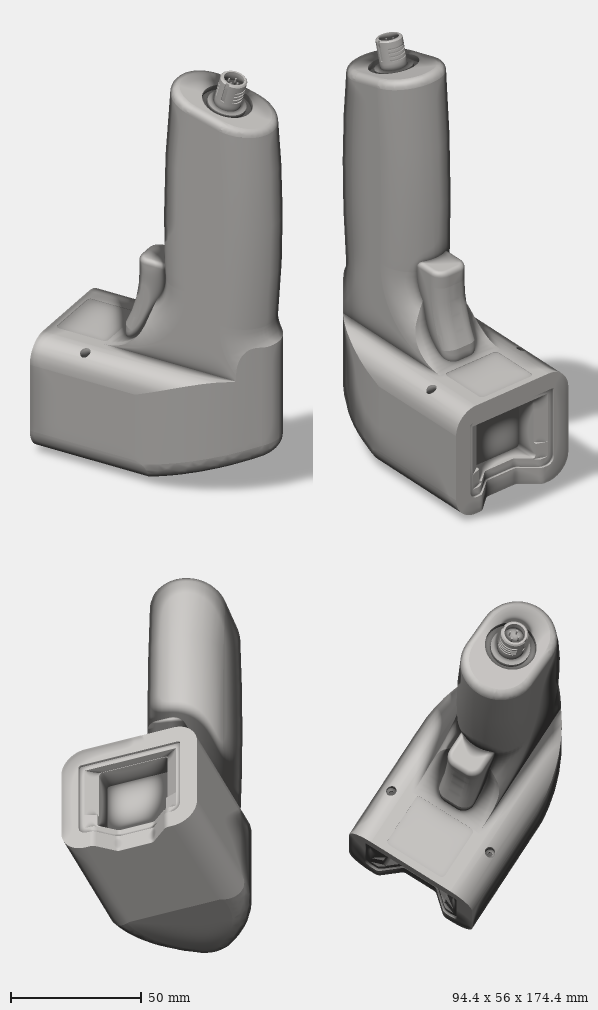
import cadquery as cq
import math

LENGTH = 94.4
WIDTH = 56.0
HEIGHT = 174.4
HALF_WIDTH = WIDTH / 2
MARGIN = 1.7

HEAD_HEIGHT = 49.0
HEAD_ROUND = 10.0
SIDE_RADIUS = 60.0
TIP_RADIUS = 12.0
BELLY_START = 48.0
BELLY_ANGLE = 16.0
BELLY_ROUND = 8.2

TIP_CENTRE_X = LENGTH - TIP_RADIUS
SIDE_CENTRE_Y = HALF_WIDTH - SIDE_RADIUS
CENTRE_SPACING = SIDE_RADIUS - TIP_RADIUS
SIDE_END_X = TIP_CENTRE_X - math.sqrt(CENTRE_SPACING**2 - SIDE_CENTRE_Y**2)

RIM_WIDTH, RIM_BOTTOM, RIM_TOP, RIM_DEPTH = 41.7, 7.3, 41.5, 1.0
RIM_TOP_ROUND, RIM_BOTTOM_ROUND = 0.9, 3.3
FUNNEL_WIDTH, FUNNEL_BOTTOM, FUNNEL_TOP, FUNNEL_END = 37.7, 10.6, 39.2, 4.4
WINDOW_WIDTH, WINDOW_BOTTOM, WINDOW_TOP, WINDOW_DEPTH = 28.3, 11.2, 39.0, 13.0
WINDOW_ROUND = 1.4
WEDGE_TOP, WEDGE_END = 17.3, 2.8
NOTCH_MOUTH, NOTCH_BACK, NOTCH_DEPTH = 30.0, 14.5, 6.6
NOTCH_APPROACH = 34.0
NOTCH_SETBACK = 1.0
NOTCH_MOUTH_ROUND, NOTCH_BACK_ROUND = 3.3, 2.3

LABEL_START, LABEL_END, LABEL_WIDTH = 2.8, 25.3, 26.0
LABEL_ROUND, LABEL_DEPTH = 1.5, 0.2
SCREW_X, SCREW_Y = 21.5, 22.5
SCREW_HOLE_DIAMETER, SCREW_HOLE_FLOOR = 4.0, 44.5
SCREW_SOCKET_DIAMETER, SCREW_SOCKET_DEPTH = 2.0, 1.0

GRIP_WIDTH = 30.0
GRIP_RADIUS = GRIP_WIDTH / 2
GRIP_BASE = 34.9
FRONT_TOP, FRONT_MIDDLE, FRONT_LOW = (64.0, 169.2), (60.7, 107.6), (61.2, 82.5)
REAR_TOP, REAR_MIDDLE, REAR_LOW = (75.0, 169.2), (78.7, 116.9), (76.7, 71.9)
FRONT_FOOT = (32.8, 51.1)
FRONT_FOOT_END = 17.5
REAR_FOOT = (101.5, 44.3)
SLOPE_START, SLOPE_RADIUS, SLOPE_ANGLE, SLOPE_TOP = 25.3, 18.1, 77.0, 77.6

TOP_TILT = 15.0
CONNECTOR_X, CONNECTOR_Z = 71.5, 162.2
TOP_ROUND = 3.0

TRIGGER_WIDTH, TRIGGER_TOP = 15.2, 86.5
TRIGGER_FRONT, TRIGGER_REAR = 34.9, 55.8
TRIGGER_TOE_X, TRIGGER_TOE_Z = 28.8, 54.8
TRIGGER_BEND_Z = 79.7
TRIGGER_FRONT_ROUND, TRIGGER_TOP_ROUND = 4.9, 2.0

RECESS_DIAMETER, RECESS_DEPTH = 20.0, 2.5
FLANGE_DIAMETER, FLANGE_HEIGHT = 15.3, 1.7
CONNECTOR_DIAMETER, CONNECTOR_CHAMFER = 10.6, 0.5
SOCKET_DIAMETER, SOCKET_DEPTH = 8.0, 3.8
PIN_DIAMETER, PIN_CIRCLE, PIN_COUNT, PIN_HEIGHT = 0.63, 3.8, 4, 2.8
GROOVE_DEPTH, GROOVE_WIDTH, GROOVE_PITCH, GROOVE_COUNT = 0.5, 0.7, 1.5, 4
GROOVE_SPAN = 7.8
KEYWAY_WIDTH, KEYWAY_DEPTH, KEYWAY_LENGTH = 1.5, 0.5, 8.5
FIRST_GROOVE = 3.0
TILT = math.radians(TOP_TILT)
CONNECTOR_END_RADIUS = CONNECTOR_DIAMETER / 2 - CONNECTOR_CHAMFER
CONNECTOR_LENGTH = (HEIGHT - CONNECTOR_Z - CONNECTOR_END_RADIUS * math.sin(TILT)) / math.cos(TILT)

TOP_PLANE = cq.Plane(
    origin=(CONNECTOR_X, 0, CONNECTOR_Z),
    xDir=(math.cos(TILT), 0, -math.sin(TILT)),
    normal=(math.sin(TILT), 0, math.cos(TILT)),
)
TOP_SELECTOR = cq.selectors.DirectionMinMaxSelector(TOP_PLANE.zDir, True)


def block(x0, x1, width, z0, z1):
    """A box centred on the XZ plane."""
    corner_box = cq.Workplane("XY").box(x1 - x0, width, z1 - z0, centered=(False, True, False))
    return corner_box.translate((x0, 0, z0))


def plan_prism(bottom, top):
    """The pointed plan outline of the part between two heights."""
    toward_tip = math.atan2(-SIDE_CENTRE_Y, TIP_CENTRE_X - SIDE_END_X)
    half_turn = (math.pi / 2 + toward_tip) / 2
    join_x = TIP_CENTRE_X + TIP_RADIUS * math.cos(toward_tip)
    join_y = TIP_RADIUS * math.sin(toward_tip)
    mid_x = SIDE_END_X + SIDE_RADIUS * math.cos(half_turn)
    mid_y = SIDE_CENTRE_Y + SIDE_RADIUS * math.sin(half_turn)
    return (
        cq.Workplane("XY")
        .workplane(offset=bottom)
        .moveTo(0, -HALF_WIDTH)
        .lineTo(SIDE_END_X, -HALF_WIDTH)
        .threePointArc((mid_x, -mid_y), (join_x, -join_y))
        .threePointArc((LENGTH, 0), (join_x, join_y))
        .threePointArc((mid_x, mid_y), (SIDE_END_X, HALF_WIDTH))
        .lineTo(0, HALF_WIDTH)
        .close()
        .extrude(top - bottom)
    )


def head():
    """A rounded bar cut to the pointed plan, with a rising and rounded underside."""
    bar = block(0, LENGTH, WIDTH, 0, HEAD_HEIGHT).edges("|X").fillet(HEAD_ROUND)
    slope = math.tan(math.radians(BELLY_ANGLE))
    behind, past_tip = -MARGIN, LENGTH + MARGIN
    deep = (behind - BELLY_START) * slope
    below_belly = (
        cq.Workplane("XZ")
        .polyline([(behind, deep), (past_tip, deep), (past_tip, (past_tip - BELLY_START) * slope)])
        .close()
        .extrude(WIDTH, both=True)
    )
    nose = plan_prism(deep, HEAD_HEIGHT).cut(below_belly)
    belly = nose.faces(cq.selectors.DirectionMinMaxSelector(cq.Vector(slope, 0, -1), True))
    rim_edges = [edge for edge in belly.edges().vals() if edge.Center().x > MARGIN]
    nose = nose.newObject(rim_edges).fillet(BELLY_ROUND)
    return bar.intersect(nose)


def xz_point(point):
    """A point on the middle plane of the part."""
    return cq.Vector(point[0], 0, point[1])


def column_path(top, middle, low, foot):
    """Centre line of one column: a long bow, then a flare towards the foot."""
    bow = cq.Edge.makeThreePointArc(xz_point(top), xz_point(middle), xz_point(low))
    flare = cq.Edge.makeTangentArc(xz_point(low), bow.tangentAt(1), xz_point(foot))
    return [bow, flare]


def round_bar(curve):
    """A round bar along one curve."""
    start = cq.Plane(origin=curve.startPoint(), xDir=(0, 1, 0), normal=curve.tangentAt(0))
    return cq.Workplane(start).circle(GRIP_RADIUS).sweep(cq.Workplane("XY").newObject([curve]))


def foot_slope_space():
    """The space above the concave slope that leads from the head up to the grip."""
    angle = math.radians(SLOPE_ANGLE)
    centre_z = HEAD_HEIGHT + SLOPE_RADIUS

    def on_arc(turn):
        return SLOPE_START + SLOPE_RADIUS * math.sin(turn), centre_z - SLOPE_RADIUS * math.cos(turn)

    arc_end = on_arc(angle)
    top_x = arc_end[0] + (SLOPE_TOP - arc_end[1]) / math.tan(angle)
    return (
        cq.Workplane("XZ")
        .moveTo(0, HEAD_HEIGHT)
        .lineTo(SLOPE_START, HEAD_HEIGHT)
        .threePointArc(on_arc(angle / 2), arc_end)
        .lineTo(top_x, SLOPE_TOP)
        .lineTo(0, SLOPE_TOP)
        .close()
        .extrude(WIDTH, both=True)
    )


def grip():
    """Two round columns on curved centre lines, joined by a flat-sided web, on a sloped foot."""
    front = column_path(FRONT_TOP, FRONT_MIDDLE, FRONT_LOW, FRONT_FOOT)
    rear = column_path(REAR_TOP, REAR_MIDDLE, REAR_LOW, REAR_FOOT)
    base_corners = [
        FRONT_FOOT,
        (FRONT_FOOT_END, FRONT_FOOT[1]),
        (FRONT_FOOT_END, GRIP_BASE),
        (REAR_FOOT[0], GRIP_BASE),
        REAR_FOOT,
    ]
    base = cq.Wire.makePolygon([xz_point(corner) for corner in base_corners])
    ridge = cq.Edge.makeLine(xz_point(REAR_TOP), xz_point(FRONT_TOP))
    outline = cq.Wire.assembleEdges(front + base.Edges() + rear[::-1] + [ridge])
    body = cq.Workplane("XZ").newObject([outline]).toPending().extrude(GRIP_RADIUS, both=True)
    for curve in front + rear:
        body = body.union(round_bar(curve))
    above_top = cq.Workplane(TOP_PLANE).rect(LENGTH * 2, WIDTH).extrude(HEIGHT - FRONT_LOW[1])
    body = body.cut(above_top)
    body = body.faces(TOP_SELECTOR).edges().fillet(TOP_ROUND)
    kept = plan_prism(GRIP_BASE, REAR_LOW[1]).union(block(0, LENGTH * 2, WIDTH, REAR_LOW[1], HEIGHT))
    return body.cut(foot_slope_space()).intersect(kept)


def trigger():
    """A finger lever that leans forward towards its toe."""
    drop = TRIGGER_BEND_Z - TRIGGER_TOE_Z
    lean = TRIGGER_FRONT - TRIGGER_TOE_X
    radius = (drop**2 + lean**2) / (2 * lean)
    half_angle = math.asin(drop / radius) / 2
    bend_mid = (
        TRIGGER_FRONT - radius * (1 - math.cos(half_angle)),
        TRIGGER_BEND_Z - radius * math.sin(half_angle),
    )
    lever = (
        cq.Workplane("XZ")
        .moveTo(TRIGGER_REAR, TRIGGER_TOP)
        .lineTo(TRIGGER_FRONT, TRIGGER_TOP)
        .lineTo(TRIGGER_FRONT, TRIGGER_BEND_Z)
        .threePointArc(bend_mid, (TRIGGER_TOE_X, TRIGGER_TOE_Z))
        .lineTo(TRIGGER_TOE_X, GRIP_BASE)
        .lineTo(TRIGGER_REAR, GRIP_BASE)
        .close()
        .extrude(TRIGGER_WIDTH / 2, both=True)
    )
    front_corners = cq.selectors.BoxSelector(
        (TRIGGER_TOE_X - MARGIN, -WIDTH, GRIP_BASE + MARGIN),
        (TRIGGER_FRONT + MARGIN, WIDTH, TRIGGER_TOP - MARGIN),
    )
    lever = lever.edges(front_corners).edges("not |Y").fillet(TRIGGER_FRONT_ROUND)
    return lever.faces(">Z").edges("not >X").fillet(TRIGGER_TOP_ROUND)


def tapered_block(x0, x1, width0, width1, z0, z1):
    """An upright block whose width changes from its front to its back."""
    corners = [(x0, -width0 / 2), (x1, -width1 / 2), (x1, width1 / 2), (x0, width0 / 2)]
    return cq.Workplane("XY").workplane(offset=z0).polyline(corners).close().extrude(z1 - z0)


def notch(z0, z1):
    """The space of the notch, with some space in front so that its mouth can be rounded."""
    space = tapered_block(0, NOTCH_DEPTH, NOTCH_MOUTH, NOTCH_BACK, z0, z1)
    space = space.faces(">X").edges("|Z").fillet(NOTCH_BACK_ROUND)
    space = space.union(block(-NOTCH_DEPTH, 0, NOTCH_APPROACH, z0, z1))
    mouth = cq.selectors.BoxSelector(
        (-MARGIN, -NOTCH_APPROACH / 2 + MARGIN / 10, z0), (MARGIN, NOTCH_APPROACH / 2 - MARGIN / 10, z1)
    )
    return space.edges("|Z").edges(mouth).fillet(NOTCH_MOUTH_ROUND)


def window():
    """The stepped opening in the front face, with the notch in its lower edge."""
    rim = block(0, RIM_DEPTH, RIM_WIDTH, RIM_BOTTOM, RIM_TOP)
    rim = rim.edges("|X and >Z").fillet(RIM_TOP_ROUND).edges("|X and <Z").fillet(RIM_BOTTOM_ROUND)
    funnel = tapered_block(RIM_DEPTH, FUNNEL_END, FUNNEL_WIDTH, WINDOW_WIDTH, WEDGE_TOP, FUNNEL_TOP)
    low_funnel = tapered_block(RIM_DEPTH, WEDGE_END, FUNNEL_WIDTH, WINDOW_WIDTH, FUNNEL_BOTTOM, WEDGE_TOP)
    deep = block(0, WINDOW_DEPTH, WINDOW_WIDTH, WINDOW_BOTTOM, WINDOW_TOP).edges("|X").fillet(WINDOW_ROUND)
    low_notch = notch(-MARGIN, RIM_BOTTOM)
    high_notch = notch(RIM_BOTTOM, FUNNEL_BOTTOM + MARGIN).translate((NOTCH_SETBACK, 0, 0))
    return rim.union(funnel).union(low_funnel).union(deep).union(low_notch).union(high_notch)


def label_recess():
    return (
        block(LABEL_START, LABEL_END, LABEL_WIDTH, HEAD_HEIGHT - LABEL_DEPTH, HEAD_HEIGHT + MARGIN)
        .edges("|Z")
        .fillet(LABEL_ROUND)
    )


def screw_holes():
    sites = [(SCREW_X, SCREW_Y), (SCREW_X, -SCREW_Y)]
    holes = (
        cq.Workplane("XY")
        .workplane(offset=SCREW_HOLE_FLOOR)
        .pushPoints(sites)
        .circle(SCREW_HOLE_DIAMETER / 2)
        .extrude(HEAD_HEIGHT - SCREW_HOLE_FLOOR)
    )
    sockets = (
        cq.Workplane("XY")
        .workplane(offset=SCREW_HOLE_FLOOR - SCREW_SOCKET_DEPTH)
        .pushPoints(sites)
        .polygon(6, SCREW_SOCKET_DIAMETER)
        .extrude(SCREW_SOCKET_DEPTH)
    )
    return holes.union(sockets)


def on_top(diameter, bottom, top):
    """A cylinder about the connector's axis; heights are measured from the sloping top face."""
    return cq.Workplane(TOP_PLANE).workplane(offset=bottom).circle(diameter / 2).extrude(top - bottom)


def connector():
    flange = on_top(FLANGE_DIAMETER, -RECESS_DEPTH, FLANGE_HEIGHT - RECESS_DEPTH)
    plug = on_top(CONNECTOR_DIAMETER, -RECESS_DEPTH, CONNECTOR_LENGTH)
    plug = plug.faces(TOP_SELECTOR).chamfer(CONNECTOR_CHAMFER)
    for number in range(GROOVE_COUNT):
        top = CONNECTOR_LENGTH - FIRST_GROOVE - number * GROOVE_PITCH
        band = cq.Workplane(TOP_PLANE).workplane(offset=top - GROOVE_WIDTH)
        band = band.rect(CONNECTOR_DIAMETER + MARGIN, GROOVE_SPAN).extrude(GROOVE_WIDTH)
        core = on_top(CONNECTOR_DIAMETER - 2 * GROOVE_DEPTH, top - GROOVE_WIDTH, top)
        plug = plug.cut(band.cut(core))
    keyways = (
        cq.Workplane(TOP_PLANE)
        .workplane(offset=CONNECTOR_LENGTH - KEYWAY_LENGTH)
        .pushPoints([(0, CONNECTOR_DIAMETER / 2), (0, -CONNECTOR_DIAMETER / 2)])
        .rect(KEYWAY_WIDTH, 2 * KEYWAY_DEPTH)
        .extrude(KEYWAY_LENGTH)
    )
    plug = plug.cut(keyways)
    floor = CONNECTOR_LENGTH - SOCKET_DEPTH
    plug = plug.cut(on_top(SOCKET_DIAMETER, floor, CONNECTOR_LENGTH))
    pins = (
        cq.Workplane(TOP_PLANE)
        .workplane(offset=floor)
        .polarArray(PIN_CIRCLE / 2, 0, 360, PIN_COUNT)
        .circle(PIN_DIAMETER / 2)
        .extrude(PIN_HEIGHT)
    )
    return flange.union(plug).union(pins)


handle = grip().cut(on_top(RECESS_DIAMETER, -RECESS_DEPTH, MARGIN))
result = head().union(handle).union(trigger()).union(connector())
result = result.cut(window()).cut(label_recess()).cut(screw_holes())